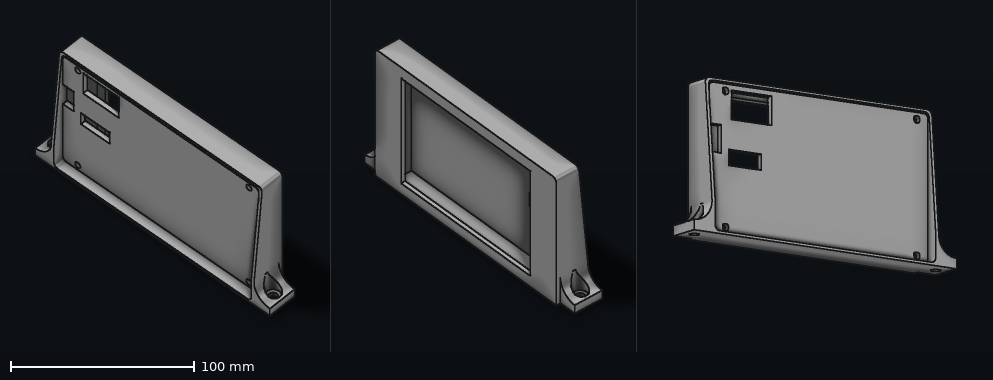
import cadquery as cq

total_length = 175.0
depth = 23.0
height = 88.4
body_length = 151.2
top_front_y = 6.6
outer_corner_radius = 3.2

ear_length = (total_length - body_length) / 2
ear_depth = 20.0
ear_thickness = 6.0
ear_blend_radius = ear_length
slope_start_z = ear_thickness + ear_blend_radius
ear_hole_x = 80.5
ear_hole_y = ear_depth / 2
ear_hole_diameter = 5.5
counterbore_diameter = 10.0
counterbore_floor_z = 3.0

side_wall = 2.1
end_wall = 1.5
cavity_corner_radius = 3.2
cavity_length = body_length - 2 * side_wall
cavity_height = height - 2 * end_wall
recess_length = 119.7
recess_height = 76.1
opening_length = 107.5
opening_height = 73.0
bezel_thickness = 3.0

panel_front_y = 6.6
panel_thickness = 3.5
panel_back_y = panel_front_y + panel_thickness
panel_side_gap = 0.5
panel_bottom_gap = 0.5
panel_top_gap = 1.0
panel_length = cavity_length - 2 * panel_side_gap
panel_bottom_z = end_wall + panel_bottom_gap
panel_top_z = height - end_wall - panel_top_gap
panel_corner_radius = cavity_corner_radius - panel_side_gap

large_window = (-58.0, -31.3, 66.5, 82.8)
small_window = (-59.5, -38.2, 40.6, 49.5)
edge_notch = (-panel_length / 2, -64.8, 46.9, 62.6)

screw_hole_diameter = 4.0
screw_hole_xs = (-62.0, 65.6)
screw_hole_zs = (5.8, 81.9)


def block(left, right, bottom, top, front, back):
    """Rectangular block between the given X, Z and Y limits."""
    return cq.Workplane("XY").box(
        right - left, back - front, top - bottom, centered=False
    ).translate((left, front, bottom))


def centred_block(length, block_height, front, back):
    """Block centred on the housing in X and Z."""
    middle = height / 2
    return block(
        -length / 2, length / 2, middle - block_height / 2, middle + block_height / 2, front, back
    )


def make_shell():
    """Solid housing body with a sloped front and rounded top corners."""
    profile = [
        (0, 0),
        (depth, 0),
        (depth, height),
        (top_front_y, height),
        (0, slope_start_z),
    ]
    shell = cq.Workplane("YZ").polyline(profile).close().extrude(body_length / 2, both=True)
    top_corners = shell.faces(">Z").edges("|Y")
    return top_corners.fillet(outer_corner_radius)


def make_ear(side):
    """Ear with a concave blend into the housing; side is -1 (left) or 1 (right)."""
    inner_x = side * body_length / 2
    outer_x = side * total_length / 2
    diagonal = ear_blend_radius * 0.5 ** 0.5
    blend_middle = (outer_x - side * diagonal, slope_start_z - diagonal)
    ear = (
        cq.Workplane("XZ")
        .moveTo(inner_x, 0)
        .lineTo(outer_x, 0)
        .lineTo(outer_x, ear_thickness)
        .threePointArc(blend_middle, (inner_x, slope_start_z))
        .close()
        .extrude(-ear_depth)
    )
    return ear


def make_ear_hole(side):
    """Vertical screw hole and counterbore, limited to the ear."""
    centre = (side * ear_hole_x, ear_hole_y)
    hole = cq.Workplane("XY").center(*centre).circle(ear_hole_diameter / 2).extrude(slope_start_z)
    counterbore = (
        cq.Workplane("XY", origin=(0, 0, counterbore_floor_z))
        .center(*centre)
        .circle(counterbore_diameter / 2)
        .extrude(slope_start_z - counterbore_floor_z)
    )
    return hole.union(counterbore)


def make_housing():
    """Sloped frame with mounting ears, panel cavity and stepped back opening."""
    housing = make_shell()
    for side in (-1, 1):
        housing = housing.union(make_ear(side))
    for side in (-1, 1):
        housing = housing.cut(make_ear_hole(side))
    cavity = centred_block(cavity_length, cavity_height, 0, panel_back_y)
    cavity = cavity.edges("|Y").fillet(cavity_corner_radius)
    recess = centred_block(recess_length, recess_height, panel_back_y, depth - bezel_thickness)
    opening = centred_block(opening_length, opening_height, panel_back_y, depth)
    return housing.cut(cavity).cut(recess).cut(opening)


def make_panel():
    """Flat panel with two windows, a notch in its left edge and four screw holes."""
    panel = block(
        -panel_length / 2, panel_length / 2, panel_bottom_z, panel_top_z, panel_front_y, panel_back_y
    )
    panel = panel.edges("|Y").fillet(panel_corner_radius)
    for cutout in (large_window, small_window, edge_notch):
        panel = panel.cut(block(*cutout, panel_front_y, panel_back_y))
    hole_centres = [(x, z) for x in screw_hole_xs for z in screw_hole_zs]
    holes = (
        cq.Workplane("XZ", origin=(0, panel_front_y, 0))
        .pushPoints(hole_centres)
        .circle(screw_hole_diameter / 2)
        .extrude(-panel_thickness)
    )
    return panel.cut(holes)


housing = make_housing()
panel = make_panel()
result = cq.Compound.makeCompound([housing.solids().val(), panel.solids().val()])